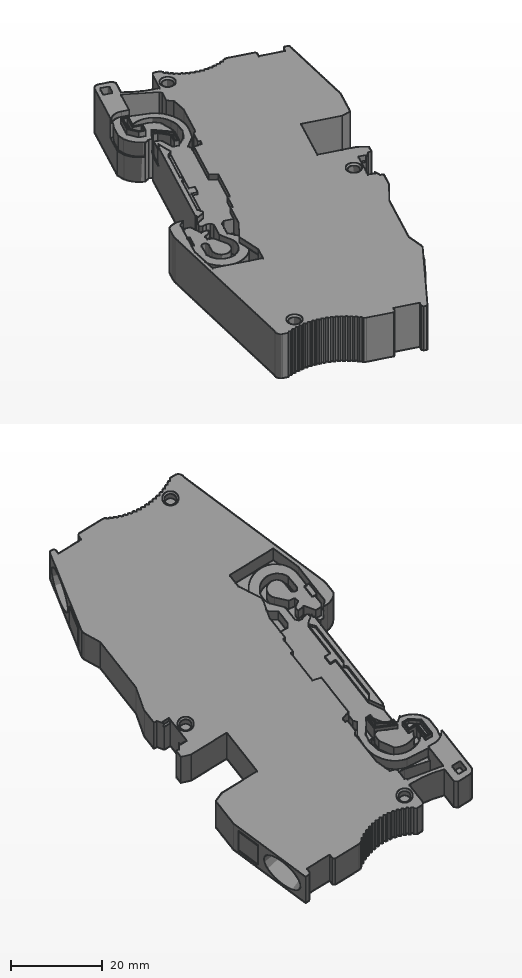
import cadquery as cq
import math

LENGTH = 98.0
HEIGHT = 50.6
THICKNESS = 12.2

SHOULDER_Y = 45.2
LEFT_SHOULDER_X = 19.8
RIGHT_SHOULDER_X = 77.8
RAIL_Y = 6.8
FOOT_TOP_Y = 5.1
FOOT_LEFT_X = 0.3
FOOT_RADIUS = 1.3
FOOT_CHAMFER = 0.7
ARM_TOP_Y = 13.6
ARM_CORNER_RADIUS = 0.8

PLATE_Z = THICKNESS - 1.5
CAVITY_Z = THICKNESS - 5.4
POCKET_TOP_Y = 16.2
TAB_LEFT_X = 40.7
TAB_RIGHT_X = 42.7
TAB_Y = 10.3
RIB_Y = 8.85
LOOP_OPENING_X = 12.7
OUTSIDE_Y = -1.0
RING_FRONT_Y = 0.3

LEFT_POCKET_WALL = [
    (10.4, ARM_TOP_Y),
    (11.0, 15.1),
    (14.65, POCKET_TOP_Y),
    (22.8, POCKET_TOP_Y),
    (23.5, 15.6),
    (26.5, 15.6),
    (26.5, POCKET_TOP_Y),
    (27.5, POCKET_TOP_Y),
    (28.1, 14.2),
]

SIDE_NOTCH_DEPTH = 1.5
SIDE_NOTCH_CHAMFER = 0.4
SIDE_NOTCH_BOTTOM_Y = 37.75
SIDE_NOTCH_TOP_Y = 43.8
GRIP_TOP_Y = 30.45
GRIP_DEPTH = 2.5
GRIP_LIP = 0.1
GRIP_LIP_HEIGHT = 0.55
LEFT_GRIP_BOTTOM_Y = 15.5
RIGHT_GRIP_BOTTOM_Y = 13.1
TOOTH_PITCH = 1.07
GROOVE_RADIUS = 0.3

MARKER_LEFT_X = 43.1
MARKER_RIGHT_X = 48.7
MARKER_FLOOR_Y = 47.25
MARKER_UNDERCUT = 0.6
MARKER_UNDERCUT_HEIGHT = 1.7
MARKER_STEP_DEPTH = 1.5

PIN_HOLES = [(4.15, 15.95), (93.7, 15.95), (46.0, 45.1)]
PIN_RADIUS = 1.35
PIN_CHAMFER = 0.45
PIN_DEPTH = 2.5

WIRE_ENTRY_DIAMETER = 10.4
WIRE_ENTRY_X = 6.4
WIRE_ENTRY_DEPTH = 10.0
WIRE_ENTRY_TAPER = 8.0
BUTTON_X = 15.7
BUTTON_LENGTH = 5.5
BUTTON_WIDTH = 9.0
BUTTON_RISE = 0.15

SOCKET_CENTER = (3.0, 2.2)
SOCKET_SIZE = (2.5, 2.2)
SOCKET_DEPTH = 3.0
SOCKET_CORNER_RADIUS = 0.3

BRIDGE_LEFT_X = 56.7
BRIDGE_RIGHT_X = 59.8
BRIDGE_FRONT_Y = 2.7
BRIDGE_BACK_Y = 3.9
BRIDGE_DROP = 0.5


def start(point):
    return cq.Workplane("XY").moveTo(*point)


def prism(outline, bottom, top):
    """Close an outline and extrude it between two heights."""
    return outline.close().extrude(top - bottom).translate((0, 0, bottom))


def polygon_prism(points, bottom, top):
    return prism(cq.Workplane("XY").polyline(points), bottom, top)


def open_prism(outline, bottom):
    """Cutter from a floor height up through the top face."""
    return prism(outline, bottom, THICKNESS + 1.0)


def mirrored(shape):
    """Copy of a shape on the opposite end of the housing."""
    middle = (LENGTH / 2, 0, 0)
    return shape.mirror("YZ", basePointVector=middle)


def make_housing():
    """Full-thickness outline, traced clockwise from the left shoulder."""
    outline = (
        start((0, SHOULDER_Y))
        .lineTo(LEFT_SHOULDER_X, HEIGHT)
        .lineTo(26.6, HEIGHT)
        .lineTo(27.5, 48.4)
        .lineTo(27.5, 38.95)
        .lineTo(39.1, 38.95)
        .lineTo(39.1, 48.4)
        .lineTo(39.9, HEIGHT)
        .lineTo(41.7, HEIGHT)
        .lineTo(41.7, 49.8)
        .lineTo(MARKER_LEFT_X, 48.9)
        .lineTo(MARKER_LEFT_X, MARKER_FLOOR_Y)
        .lineTo(MARKER_RIGHT_X, MARKER_FLOOR_Y)
        .lineTo(MARKER_RIGHT_X, 48.9)
        .lineTo(50.2, 49.8)
        .lineTo(50.2, HEIGHT)
        .lineTo(54.0, HEIGHT)
        .lineTo(59.6, 48.85)
        .lineTo(73.3, 48.85)
        .lineTo(RIGHT_SHOULDER_X - 0.7, HEIGHT - 0.1)
        .lineTo(RIGHT_SHOULDER_X, HEIGHT)
        .lineTo(LENGTH - 0.2, SHOULDER_Y)
        .lineTo(LENGTH, SHOULDER_Y - 0.3)
        .lineTo(LENGTH, GRIP_TOP_Y + GRIP_LIP_HEIGHT)
        .lineTo(LENGTH - GRIP_LIP, GRIP_TOP_Y)
        .threePointArc(
            (LENGTH - GRIP_DEPTH, (GRIP_TOP_Y + RIGHT_GRIP_BOTTOM_Y) / 2),
            (LENGTH - GRIP_LIP, RIGHT_GRIP_BOTTOM_Y),
        )
        .lineTo(LENGTH - GRIP_LIP, 11.8)
        .threePointArc((97.55, 10.95), (96.4, 10.5))
        .lineTo(57.8, 0.1)
        .lineTo(56.8, 0)
        .lineTo(54.2, 0)
        .threePointArc((53.1, 1.2), (52.6, 2.75))
        .lineTo(52.6, 4.6)
        .lineTo(56.0, RAIL_Y)
        .lineTo(21.6, RAIL_Y)
        .lineTo(20.9, 7.1)
        .lineTo(20.7, 6.2)
        .lineTo(21.6, FOOT_TOP_Y)
        .threePointArc((20.8, 2.6), (19.3, 0.9))
        .lineTo(17.6, 0)
        .lineTo(FOOT_LEFT_X + FOOT_RADIUS, 0)
        .radiusArc((FOOT_LEFT_X, FOOT_RADIUS), FOOT_RADIUS)
        .lineTo(FOOT_LEFT_X, FOOT_TOP_Y - FOOT_CHAMFER)
        .lineTo(FOOT_LEFT_X + FOOT_CHAMFER, FOOT_TOP_Y)
        .lineTo(4.5, FOOT_TOP_Y)
        .threePointArc((5.45, 9.0), (5.75, 13.0))
        .lineTo(5.75, ARM_TOP_Y)
        .lineTo(ARM_CORNER_RADIUS, ARM_TOP_Y)
        .radiusArc((0, ARM_TOP_Y + ARM_CORNER_RADIUS), ARM_CORNER_RADIUS)
        .lineTo(0, LEFT_GRIP_BOTTOM_Y)
        .threePointArc(
            (GRIP_DEPTH, (GRIP_TOP_Y + LEFT_GRIP_BOTTOM_Y) / 2),
            (GRIP_LIP, GRIP_TOP_Y),
        )
        .lineTo(0, GRIP_TOP_Y + GRIP_LIP_HEIGHT)
    )
    return prism(outline, 0, THICKNESS)


def make_side_notch():
    """Notch in the left side, with chamfered mouth corners."""
    outline = [
        (0, SIDE_NOTCH_BOTTOM_Y - SIDE_NOTCH_CHAMFER),
        (SIDE_NOTCH_CHAMFER, SIDE_NOTCH_BOTTOM_Y),
        (SIDE_NOTCH_DEPTH, SIDE_NOTCH_BOTTOM_Y),
        (SIDE_NOTCH_DEPTH, SIDE_NOTCH_TOP_Y),
        (SIDE_NOTCH_CHAMFER, SIDE_NOTCH_TOP_Y),
        (0, SIDE_NOTCH_TOP_Y + SIDE_NOTCH_CHAMFER),
    ]
    return polygon_prism(outline, 0, THICKNESS)


def make_grip_grooves(bottom_y, edge_x, inward):
    """Grooves at equal spacing along the arc of a finger grip."""
    half_chord = (GRIP_TOP_Y - bottom_y) / 2
    arc_radius = (half_chord**2 + GRIP_DEPTH**2) / (2 * GRIP_DEPTH)
    center_x = edge_x + inward * (GRIP_DEPTH - arc_radius)
    center_y = (GRIP_TOP_Y + bottom_y) / 2
    half_angle = math.asin(half_chord / arc_radius)
    count = int(2 * half_angle * arc_radius / TOOTH_PITCH)
    points = []
    for index in range(count):
        angle = (index - (count - 1) / 2) * TOOTH_PITCH / arc_radius
        x = center_x + inward * arc_radius * math.cos(angle)
        y = center_y + arc_radius * math.sin(angle)
        points.append((x, y))
    return cq.Workplane("XY").pushPoints(points).circle(GROOVE_RADIUS).extrude(THICKNESS)


def make_marker_undercut():
    """Wider step at the top face, on both sides of the marker slot."""
    width = MARKER_RIGHT_X - MARKER_LEFT_X + 2 * MARKER_UNDERCUT
    return cq.Workplane("XY").box(
        width, MARKER_UNDERCUT_HEIGHT, MARKER_STEP_DEPTH, centered=False
    ).translate(
        (MARKER_LEFT_X - MARKER_UNDERCUT, MARKER_FLOOR_Y, THICKNESS - MARKER_STEP_DEPTH)
    )


def make_pin_holes():
    profile = (
        cq.Workplane("XZ")
        .moveTo(0, THICKNESS)
        .lineTo(PIN_RADIUS + PIN_CHAMFER, THICKNESS)
        .lineTo(PIN_RADIUS, THICKNESS - PIN_CHAMFER)
        .lineTo(PIN_RADIUS, THICKNESS - PIN_DEPTH)
        .lineTo(0, THICKNESS - PIN_DEPTH)
        .close()
        .revolve(360, (0, 0, 0), (0, 1, 0))
    )
    holes = cq.Workplane("XY")
    for x, y in PIN_HOLES:
        holes = holes.add(profile.translate((x, y, 0)))
    return holes.combine()


def shoulder_plane(x):
    """Plane lying on the left shoulder, with its normal pointing outward."""
    rise = HEIGHT - SHOULDER_Y
    y = SHOULDER_Y + rise * x / LEFT_SHOULDER_X
    return cq.Plane(
        origin=(x, y, THICKNESS / 2),
        xDir=(LEFT_SHOULDER_X, rise, 0),
        normal=(-rise, LEFT_SHOULDER_X, 0),
    )


def make_wire_entry():
    hole = cq.Workplane(shoulder_plane(WIRE_ENTRY_X)).circle(WIRE_ENTRY_DIAMETER / 2)
    return hole.extrude(-WIRE_ENTRY_DEPTH, taper=WIRE_ENTRY_TAPER)


def make_button():
    pad = cq.Workplane(shoulder_plane(BUTTON_X)).rect(BUTTON_LENGTH, BUTTON_WIDTH)
    return pad.extrude(BUTTON_RISE, both=True)


def make_pocket():
    """Recess for the latch plate, leaving the rib along the rail standing."""
    outline = (
        cq.Workplane("XY")
        .polyline(LEFT_POCKET_WALL)
        .lineTo(38.5, 14.2)
        .lineTo(39.0, POCKET_TOP_Y)
        .lineTo(47.3, POCKET_TOP_Y)
        .lineTo(47.3, 15.6)
        .lineTo(51.1, 15.6)
        .lineTo(51.1, 15.05)
        .lineTo(57.1, 15.05)
        .lineTo(61.9, ARM_TOP_Y)
        .lineTo(67.4, POCKET_TOP_Y)
        .lineTo(70.7, POCKET_TOP_Y)
        .lineTo(70.7, 4.6)
        .lineTo(63.9, BRIDGE_FRONT_Y)
        .lineTo(53.8, BRIDGE_FRONT_Y)
        .lineTo(52.6, 3.9)
        .lineTo(52.0, RAIL_Y - 1)
        .lineTo(52.7, RAIL_Y)
        .lineTo(51.2, RIB_Y)
        .lineTo(TAB_RIGHT_X, RIB_Y)
        .lineTo(TAB_RIGHT_X, TAB_Y)
        .lineTo(TAB_LEFT_X, TAB_Y)
        .lineTo(TAB_LEFT_X, RIB_Y)
        .lineTo(28.1, RIB_Y)
        .lineTo(24.2, RAIL_Y)
        .lineTo(24.2, OUTSIDE_Y)
        .lineTo(LOOP_OPENING_X, OUTSIDE_Y)
        .lineTo(LOOP_OPENING_X, RING_FRONT_Y)
        .threePointArc((11.6, 1.3), (11.1, 3.0))
        .lineTo(11.1, 4.8)
        .lineTo(10.4, 4.8)
    )
    return open_prism(outline, PLATE_Z)


def make_rib_recesses():
    """Two recesses along the inner edge of the rail rib; the right one takes in the tab."""
    depth = 0.9
    edge_y = 7.9
    slant = 1.1
    recesses = cq.Workplane("XY")
    for left, right in ((28.1, 38.6), (37.8, 50.8)):
        inner = [(left + slant, edge_y), (right - slant, edge_y)]
        outer = [(right, RIB_Y), (left, RIB_Y)]
        recesses = recesses.add(polygon_prism(inner + outer, THICKNESS - depth, THICKNESS))
    tab = [(TAB_LEFT_X, RIB_Y), (TAB_RIGHT_X, RIB_Y), (TAB_RIGHT_X, TAB_Y), (TAB_LEFT_X, TAB_Y)]
    recesses = recesses.add(polygon_prism(tab, THICKNESS - depth, THICKNESS))
    return recesses.combine()


def make_arm_window():
    outline = [(5.35, 4.8), (10.4, 4.8), (11.9, 10.7), (12.1, 13.2), (11.8, ARM_TOP_Y),
               (7.6, ARM_TOP_Y), (7.1, 13.1)]
    return polygon_prism(outline, 0, THICKNESS)


def make_rail_end_clearances():
    """Sets the rail edge back slightly at both ends, beside the loops."""
    setback = 0.25
    clearances = cq.Workplane("XY")
    for left, right in ((21.5, 25.4), (51.8, 54.0)):
        clearance = cq.Workplane("XY").box(right - left, setback, THICKNESS - CAVITY_Z, centered=False)
        clearances = clearances.add(clearance.translate((left, RAIL_Y, CAVITY_Z)))
    return clearances.combine()


def make_left_clearance():
    """Deep space between the pocket wall and the outside of the left loop."""
    outline = (
        cq.Workplane("XY")
        .polyline(LEFT_POCKET_WALL)
        .lineTo(26.5, 14.2)
        .lineTo(25.7, ARM_TOP_Y)
        .lineTo(22.8, 15.5)
        .lineTo(19.8, 15.75)
        .threePointArc((14.9, 14.2), (11.95, 10.0))
        .lineTo(11.4, 4.0)
        .lineTo(11.1, 4.8)
        .lineTo(10.4, 4.8)
    )
    return open_prism(outline, CAVITY_Z)


def make_left_front_clearance():
    """Sets the front of the left loop back from the foot."""
    outline = (
        start((LOOP_OPENING_X, OUTSIDE_Y))
        .lineTo(LOOP_OPENING_X, 0.65)
        .lineTo(14.2, RING_FRONT_Y)
        .lineTo(17.3, RING_FRONT_Y)
        .lineTo(18.8, 1.0)
        .threePointArc((20.4, 2.7), (21.3, FOOT_TOP_Y))
        .lineTo(22.5, FOOT_TOP_Y)
        .lineTo(22.5, OUTSIDE_Y)
    )
    return open_prism(outline, CAVITY_Z)


def make_left_channel():
    """Deep channel inside the left loop, running around its core."""
    outline = (
        start((14.3, 4.8))
        .threePointArc((13.9, 10.4), (17.6, 13.8))
        .lineTo(20.0, 14.2)
        .lineTo(22.2, 13.8)
        .lineTo(24.8, 11.7)
        .lineTo(24.6, 10.3)
        .lineTo(22.0, 8.8)
        .lineTo(21.5, RAIL_Y)
        .lineTo(19.3, 7.3)
        .lineTo(21.4, 11.4)
        .lineTo(20.9, 12.35)
        .lineTo(19.1, 12.35)
        .lineTo(15.9, 10.6)
        .threePointArc((15.0, 8.0), (15.5, 5.5))
        .lineTo(16.9, 4.8)
        .lineTo(16.9, 3.8)
        .lineTo(15.5, 3.8)
    )
    return open_prism(outline, CAVITY_Z)


def make_left_openings():
    """Parts of the left channel that pass right through the foot."""
    side = (
        start((14.3, 4.8))
        .threePointArc((13.8, 10.4), (17.3, 13.6))
        .lineTo(17.6, 12.3)
        .lineTo(15.9, 10.6)
        .threePointArc((15.0, 8.0), (15.5, 5.5))
        .lineTo(15.5, 4.8)
    )
    top = [(19.0, 12.7), (19.4, ARM_TOP_Y), (22.1, ARM_TOP_Y), (22.1, 12.2), (21.4, 11.9),
           (21.0, 12.35)]
    return prism(side, 0, THICKNESS).union(polygon_prism(top, 0, THICKNESS))


def inset_core(points, wall):
    """Space inside a standing wall of the given thickness, above the plate."""
    core = cq.Workplane("XY").polyline(points).close().offset2D(-wall, "intersection")
    return core.extrude(THICKNESS - PLATE_Z).translate((0, 0, PLATE_Z))


def make_spring_ends():
    """Thin standing walls of the two spring seats on the left loop."""
    wall = 0.35
    hook = [(13.4, 2.2), (17.5, 2.2), (19.3, 4.4), (19.3, 6.0), (16.9, 6.0), (16.9, 3.9), (13.4, 3.9)]
    hook_ridge = polygon_prism(hook, PLATE_Z, THICKNESS)
    hook_core = inset_core(hook, wall)
    blade = [(19.3, 7.2), (21.0, 7.2), (21.0, 8.2), (22.6, 10.7), (24.8, 10.7), (24.8, 11.9),
             (21.6, 11.9)]
    blade_ridge = polygon_prism(blade, CAVITY_Z, THICKNESS)
    blade_core = inset_core(blade, wall)
    return hook_ridge.cut(hook_core).union(blade_ridge.cut(blade_core))


def make_socket():
    block = cq.Workplane("XY").rect(*SOCKET_SIZE).extrude(SOCKET_DEPTH)
    block = block.edges("|Z").fillet(SOCKET_CORNER_RADIUS)
    return block.translate((*SOCKET_CENTER, THICKNESS - SOCKET_DEPTH))


def make_right_clearance():
    """Deep space between the right loop and the corner of the pocket."""
    outline = (
        start((64.9, 14.9))
        .lineTo(67.4, POCKET_TOP_Y)
        .lineTo(70.7, POCKET_TOP_Y)
        .lineTo(70.7, 4.6)
        .lineTo(63.9, BRIDGE_FRONT_Y)
        .lineTo(53.8, BRIDGE_FRONT_Y)
        .lineTo(52.5, 3.9)
        .lineTo(52.5, 5.2)
        .lineTo(53.5, 5.2)
        .lineTo(53.5, 3.8)
        .lineTo(54.1, 3.3)
        .lineTo(63.4, 3.3)
        .threePointArc((68.9, 9.3), (64.9, 14.9))
    )
    return open_prism(outline, CAVITY_Z)


def make_right_upper_gap():
    outline = [(53.5, 15.05), (53.5, 12.8), (54.3, 12.1), (57.9, 12.1), (59.6, 14.3), (57.1, 15.05)]
    return polygon_prism(outline, CAVITY_Z, THICKNESS)


def make_right_channel():
    """Deep channel that winds around the core of the right loop."""
    outline = (
        start((53.5, RAIL_Y))
        .lineTo(53.9, 7.8)
        .lineTo(53.5, 8.8)
        .lineTo(53.5, 9.7)
        .lineTo(54.2, 10.3)
        .lineTo(57.9, 10.3)
        .lineTo(60.6, 12.5)
        .threePointArc((66.4, 9.8), (63.8, 5.45))
        .lineTo(60.6, 5.35)
        .threePointArc((59.9, 6.2), (60.6, 7.0))
        .lineTo(62.9, 7.0)
        .threePointArc((64.8, 9.9), (61.3, 10.9))
        .lineTo(58.8, 8.7)
        .lineTo(58.6, 7.3)
        .lineTo(57.6, 7.1)
        .lineTo(56.6, 8.5)
        .lineTo(55.6, 8.5)
        .lineTo(55.8, RAIL_Y)
    )
    return open_prism(outline, CAVITY_Z)


def make_bridge_recess():
    """Opening in the front of the right loop that takes the sloping bridge."""
    outline = [
        (BRIDGE_LEFT_X, BRIDGE_FRONT_Y),
        (BRIDGE_RIGHT_X, BRIDGE_FRONT_Y),
        (BRIDGE_RIGHT_X, BRIDGE_BACK_Y),
        (BRIDGE_LEFT_X, BRIDGE_BACK_Y),
    ]
    return polygon_prism(outline, CAVITY_Z, THICKNESS)


def make_bridge():
    """Wedge sloping down from the pocket wall toward the right loop."""
    profile = [
        (BRIDGE_FRONT_Y, CAVITY_Z),
        (BRIDGE_BACK_Y, CAVITY_Z),
        (BRIDGE_BACK_Y, PLATE_Z - BRIDGE_DROP),
        (BRIDGE_FRONT_Y, PLATE_Z),
    ]
    wedge = cq.Workplane("YZ").polyline(profile).close().extrude(BRIDGE_RIGHT_X - BRIDGE_LEFT_X)
    return wedge.translate((BRIDGE_LEFT_X, 0, 0))


def make_right_slits():
    """Narrow through openings on both sides of the sloping bridge."""
    length = 0.7
    back_y = 3.2
    slits = cq.Workplane("XY")
    for left, right in ((BRIDGE_LEFT_X - length, BRIDGE_LEFT_X), (BRIDGE_RIGHT_X, BRIDGE_RIGHT_X + length)):
        outline = [(left, BRIDGE_FRONT_Y), (right, BRIDGE_FRONT_Y), (right, back_y), (left, back_y)]
        slits = slits.add(polygon_prism(outline, 0, THICKNESS))
    return slits.combine()


side_notch = make_side_notch()
wire_entry = make_wire_entry()
button = make_button()

result = make_housing()
for cutter in (
    side_notch,
    mirrored(side_notch),
    make_grip_grooves(LEFT_GRIP_BOTTOM_Y, 0, 1),
    make_grip_grooves(RIGHT_GRIP_BOTTOM_Y, LENGTH, -1),
    make_marker_undercut(),
    make_pin_holes(),
    wire_entry,
    mirrored(wire_entry),
    make_pocket(),
    make_rib_recesses(),
    make_arm_window(),
    make_left_clearance(),
    make_left_front_clearance(),
    make_left_channel(),
    make_left_openings(),
    make_socket(),
    make_right_clearance(),
    make_right_upper_gap(),
    make_right_channel(),
    make_right_slits(),
    make_bridge_recess(),
    make_rail_end_clearances(),
):
    result = result.cut(cutter)

for addition in (button, mirrored(button), make_spring_ends(), make_bridge()):
    result = result.union(addition)